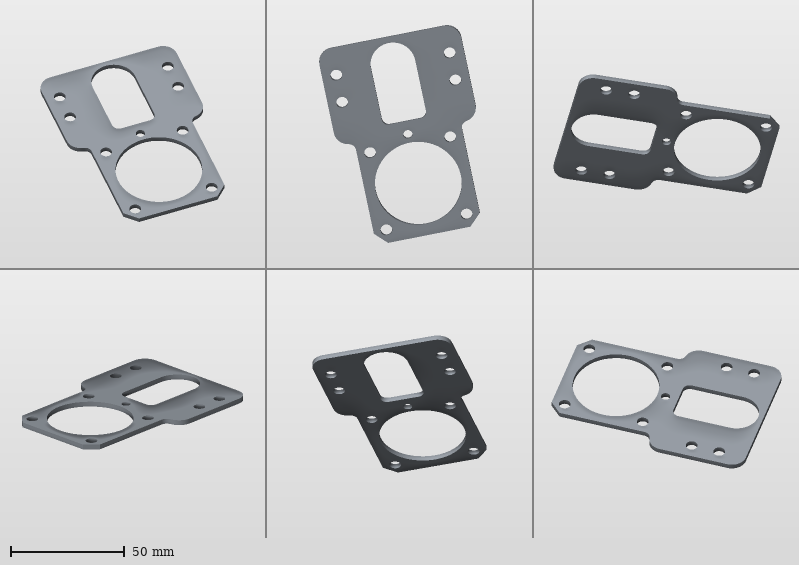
import cadquery as cq
import math

length = 91.6
width = 63.5
thickness = 2.3
left_edge = -length / 2
right_edge = length / 2

corner_radius = 6.4
neck_radius = 3.2
block_corner_x = -8.1
wing_half_width = 23.7
wing_chamfer = 5.3

opening_x = 22.0
opening_diameter = 38.1
screw_diameter = 5.1
screw_spacing = 35.9
small_hole_x = -0.8
small_hole_diameter = 4.0

mount_xs = (-33.5, -20.9)
mount_y = 25.4

window_left = -43.4
window_right = -6.6
window_width = 19.8
window_corner_radius = 3.2


def plate():
    """Make the plate, with tangent S-curves joining the block to the wing."""
    half_width = width / 2
    corner_y = half_width - corner_radius
    neck_y = wing_half_width + neck_radius
    rise = neck_y - corner_y
    run = math.sqrt((corner_radius + neck_radius) ** 2 - rise**2)
    neck_x = block_corner_x + run
    join_angle = math.atan2(rise, run)

    def on_corner(angle):
        return (
            block_corner_x + corner_radius * math.cos(angle),
            corner_y + corner_radius * math.sin(angle),
        )

    def on_neck(angle):
        return (
            neck_x + neck_radius * math.cos(angle),
            neck_y + neck_radius * math.sin(angle),
        )

    join = on_corner(join_angle)
    corner_middle = on_corner((join_angle + math.pi / 2) / 2)
    neck_middle = on_neck((join_angle + math.pi + 3 * math.pi / 2) / 2)

    upper_half = (
        cq.Workplane("XY")
        .moveTo(left_edge, 0)
        .lineTo(left_edge, half_width)
        .lineTo(block_corner_x, half_width)
        .threePointArc(corner_middle, join)
        .threePointArc(neck_middle, (neck_x, wing_half_width))
        .lineTo(right_edge - wing_chamfer, wing_half_width)
        .lineTo(right_edge, wing_half_width - wing_chamfer)
        .lineTo(right_edge, 0)
        .close()
        .extrude(thickness)
    )
    whole = upper_half.union(upper_half.mirror("XZ")).clean()
    return whole.edges("|Z and <X").fillet(corner_radius)


def round_holes(points, diameter):
    return cq.Workplane("XY").pushPoints(points).circle(diameter / 2).extrude(thickness)


def window():
    end_radius = window_width / 2
    end_x = window_left + end_radius
    straight = (
        cq.Workplane("XY")
        .moveTo((end_x + window_right) / 2, 0)
        .rect(window_right - end_x, window_width)
        .extrude(thickness)
        .edges("|Z and >X")
        .fillet(window_corner_radius)
    )
    return straight.union(round_holes([(end_x, 0)], window_width))


screw_points = [
    (opening_x + side_x * screw_spacing / 2, side_y * screw_spacing / 2)
    for side_x in (-1, 1)
    for side_y in (-1, 1)
]
mount_points = [(x, side * mount_y) for x in mount_xs for side in (-1, 1)]

result = (
    plate()
    .cut(window())
    .cut(round_holes([(opening_x, 0)], opening_diameter))
    .cut(round_holes([(small_hole_x, 0)], small_hole_diameter))
    .cut(round_holes(screw_points + mount_points, screw_diameter))
)